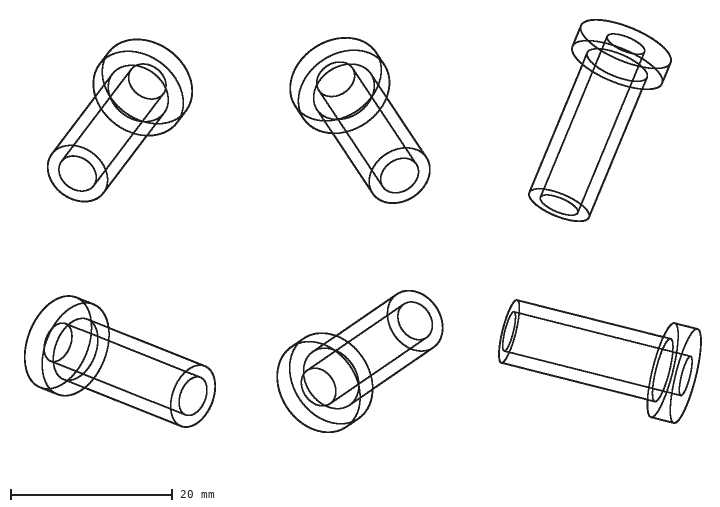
import cadquery as cq

total_length = 23.0
flange_thickness = 3.0
flange_diameter = 12.0
sleeve_diameter = 8.0
bore_diameter = 5.0


def cylinder_from_back(diameter, length):
    """Cylinder starting at the flange's outer face (Y = 0) and running toward -Y."""
    return cq.Workplane("XZ").circle(diameter / 2).extrude(length)


flange = cylinder_from_back(flange_diameter, flange_thickness)
sleeve = cylinder_from_back(sleeve_diameter, total_length)
bore = cylinder_from_back(bore_diameter, total_length)

result = flange.union(sleeve).cut(bore)